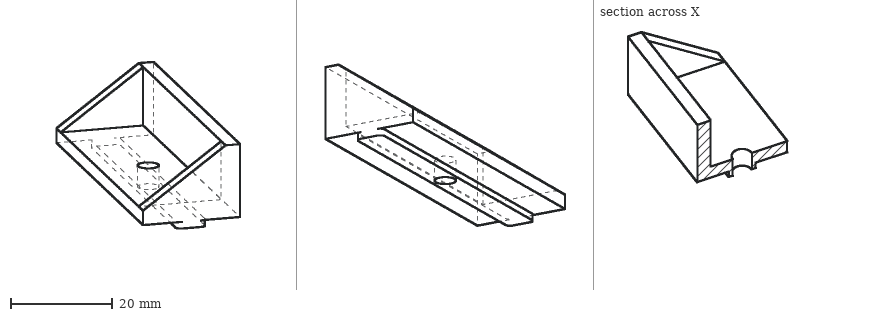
import cadquery as cq

length = 60.0
depth = 20.0
body_height = 15.0
wall = 3.0
hole_diameter = 4.2
rail_width = 6.0
rail_height = 1.4
rail_corner_radius = 1.0

front_y = -depth / 2
back_y = depth / 2


def make_body():
    """Wedge whose slope runs from the back wall down to the floor's front edge."""
    profile = [
        (front_y, 0),
        (back_y, 0),
        (back_y, body_height),
        (back_y - wall, body_height),
        (front_y, wall),
    ]
    return cq.Workplane("YZ").polyline(profile).close().extrude(length / 2, both=True)


def make_pocket():
    """Space between the end walls, above the floor and open at the front."""
    return cq.Workplane("XY").box(
        length - 2 * wall, depth - wall, body_height - wall, centered=(True, False, False)
    ).translate((0, front_y, wall))


def make_rail():
    """Locating rail along the underside, with rounded vertical corners."""
    rail = cq.Workplane("XY").rect(length, rail_width).extrude(-rail_height)
    return rail.edges("|Z").fillet(rail_corner_radius)


def make_hole():
    """Vertical hole through the floor and the rail."""
    hole = cq.Workplane("XY").workplane(offset=-rail_height).circle(hole_diameter / 2)
    return hole.extrude(rail_height + wall)


result = make_body().cut(make_pocket()).union(make_rail()).cut(make_hole())